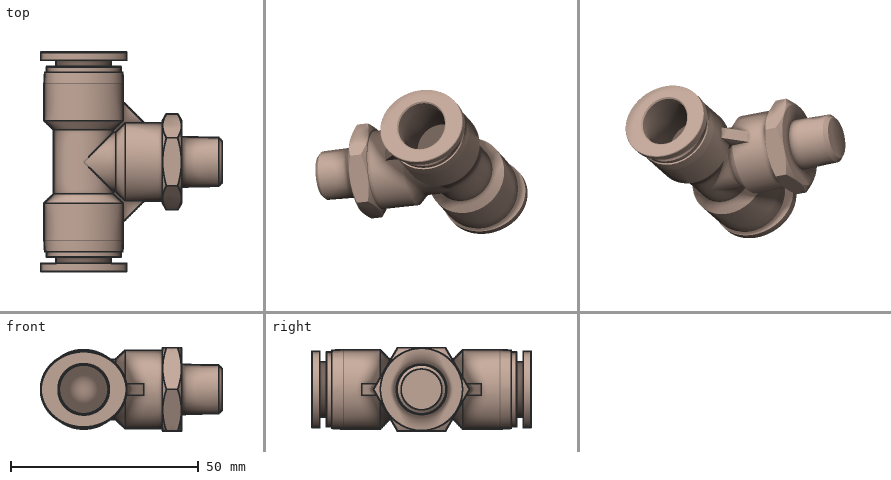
import cadquery as cq
import math

overall_length = 58.6
overall_reach = 48.5
half_length = overall_length / 2

flange_width = 23.05
flange_height = 20.4
flange_thickness = 2.2
flange_chamfer = 0.2
neck_radius = 14.8 / 2
collar_length = 5.3
bore_radius = 13.0 / 2
bore_lead_in = 0.35

core_radius = 8.06
socket_radius = 21.2 / 2
socket_cone_start = 8.55
socket_cone_end = 11.0
socket_taper_start = 20.9
socket_taper_end = 23.9
taper_end_radius = 10.4
lip_radius = 20.0 / 2
lip_end = 25.45
lip_chamfer = 0.2
bore_floor = 11.7

branch_radius = 21.0 / 2
branch_cone_start = 8.5
branch_cone_end = 11.1
branch_end = 21.0
rib_thickness = 3.05
rib_reach = 26.55

hex_across_flats = 22.2
hex_thickness = 5.15
hex_face_radius = 10.95
hex_chamfer_angle = 30.0
thread_root_radius = 6.75
thread_end_radius = 13.0 / 2
thread_chamfer = 1.05

flange_inner = half_length - flange_thickness
collar_inner = half_length - collar_length
hex_corner_radius = hex_across_flats / math.sqrt(3)
hex_chamfer_length = (hex_corner_radius - hex_face_radius) * math.tan(math.radians(hex_chamfer_angle))
stud_end = overall_reach - flange_width / 2


def cylinder_along_y(radius, start, end):
    """Cylinder on the Y axis between two Y positions."""
    return cq.Workplane("XZ", origin=(0, start, 0)).circle(radius).extrude(start - end)


def revolve_about_x(profile):
    return profile.close().revolve(360, (0, 0, 0), (1, 0, 0))


def mirror_in_y(half):
    return half.mirror("XZ")


def make_run_half():
    """Half of the run on the +Y side, with a curved taper leading to the end lip."""
    return (
        cq.Workplane("XY")
        .lineTo(core_radius, 0)
        .lineTo(core_radius, socket_cone_start)
        .lineTo(socket_radius, socket_cone_end)
        .lineTo(socket_radius, socket_taper_start)
        .tangentArcPoint((taper_end_radius, socket_taper_end), relative=False)
        .lineTo(lip_radius, socket_taper_end)
        .lineTo(lip_radius, lip_end - lip_chamfer)
        .lineTo(lip_radius - lip_chamfer, lip_end)
        .lineTo(0, lip_end)
        .close()
        .revolve(360, (0, 0, 0), (0, 1, 0))
    )


def make_branch():
    return revolve_about_x(
        cq.Workplane("XY")
        .lineTo(0, core_radius)
        .lineTo(branch_cone_start, core_radius)
        .lineTo(branch_cone_end, branch_radius)
        .lineTo(branch_end, branch_radius)
        .lineTo(branch_end, 0)
    )


def make_ribs():
    """One triangular plate whose two outer corners are hidden inside the run and the branch."""
    rib_tip_y = rib_reach - socket_radius
    rib_tip_x = rib_reach - branch_radius
    half_plate = (
        cq.Workplane("XY", origin=(0, 0, -rib_thickness / 2))
        .lineTo(rib_tip_x, 0)
        .lineTo(rib_tip_x, branch_radius)
        .lineTo(socket_radius, rib_tip_y)
        .lineTo(0, rib_tip_y)
        .close()
        .extrude(rib_thickness)
    )
    return half_plate.union(mirror_in_y(half_plate))


def make_socket_cut():
    """Blind tube bore on the +Y side, widened at its mouth to seat the collar."""
    bore = cylinder_along_y(bore_radius, bore_floor, lip_end)
    collar_seat = cylinder_along_y(neck_radius, collar_inner, lip_end)
    return bore.union(collar_seat)


def make_housing():
    run_half = make_run_half()
    socket_cut = make_socket_cut()
    solid = run_half.union(mirror_in_y(run_half)).union(make_branch()).union(make_ribs())
    return solid.cut(socket_cut).cut(mirror_in_y(socket_cut))


def make_collar(side):
    """Release collar with an oval flange; side is +1 for the +Y end and -1 for the -Y end."""
    flange = (
        cq.Workplane("XZ", origin=(0, flange_inner, 0))
        .ellipse(flange_width / 2, flange_height / 2)
        .extrude(-flange_thickness)
        .faces(">Y")
        .chamfer(flange_chamfer)
    )
    neck = cylinder_along_y(neck_radius, collar_inner, flange_inner)
    bore = cylinder_along_y(bore_radius, collar_inner, half_length)
    collar = flange.union(neck).cut(bore)
    collar = collar.faces(">Y").edges("%CIRCLE").chamfer(bore_lead_in)
    return collar if side > 0 else mirror_in_y(collar)


def make_hex():
    """Hexagon with flats facing +Z and -Z, its corners turned down at both faces."""
    hex_end = branch_end + hex_thickness
    prism = (
        cq.Workplane("YZ", origin=(branch_end, 0, 0))
        .polygon(6, 2 * hex_corner_radius)
        .extrude(hex_thickness)
    )
    turned_envelope = revolve_about_x(
        cq.Workplane("XY")
        .moveTo(branch_end, 0)
        .lineTo(branch_end, hex_face_radius)
        .lineTo(branch_end + hex_chamfer_length, hex_corner_radius)
        .lineTo(hex_end - hex_chamfer_length, hex_corner_radius)
        .lineTo(hex_end, hex_face_radius)
        .lineTo(hex_end, 0)
    )
    return prism.intersect(turned_envelope)


def make_stud():
    thread_start = branch_end + hex_thickness
    thread = revolve_about_x(
        cq.Workplane("XY")
        .moveTo(thread_start, 0)
        .lineTo(thread_start, thread_root_radius)
        .lineTo(stud_end - thread_chamfer, thread_end_radius)
        .lineTo(stud_end, thread_end_radius - thread_chamfer)
        .lineTo(stud_end, 0)
    )
    return make_hex().union(thread)


housing = make_housing()
stud = make_stud()
collars = [make_collar(side) for side in (1, -1)]

result = cq.Compound.makeCompound([housing.val(), stud.val(), *[collar.val() for collar in collars]])